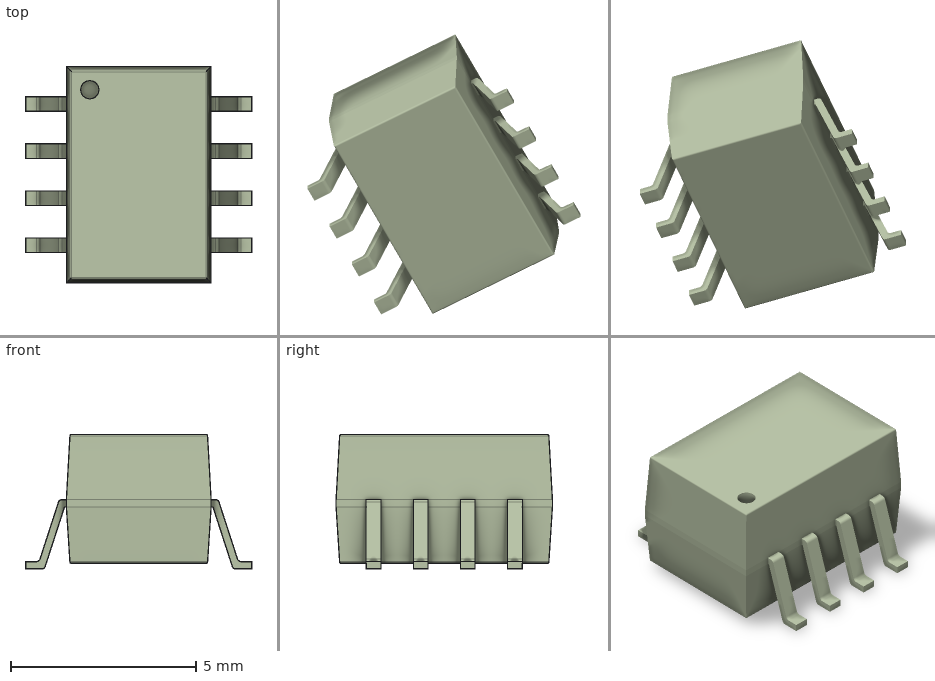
import cadquery as cq
import math

span_x = 6.10
total_height = 3.63

body_width = 3.91
body_length = 5.84
standoff = 0.15
upper_draft = 3.2
lower_draft = 3.7
edge_radius = 0.05

mark_diameter = 0.49
mark_depth = 0.50
mark_x = -1.32
mark_y = 2.29

lead_thickness = 0.20
lead_width = 0.40
lead_pitch = 1.27
leads_per_side = 4
lead_top = 1.87
lead_slope = 72.0
shoulder_length = 0.19
bend_radius = 0.10

band_bottom = lead_top - lead_thickness
upper_height = total_height - lead_top
lower_height = band_bottom - standoff


def make_housing():
    band = cq.Workplane("XY").workplane(offset=band_bottom).rect(body_width, body_length)
    housing = (
        band.extrude(lead_thickness)
        .faces(">Z").workplane()
        .rect(body_width, body_length).extrude(upper_height, taper=upper_draft)
        .faces("<Z").workplane()
        .rect(body_width, body_length).extrude(lower_height, taper=lower_draft)
    )
    housing = housing.faces(">Z or <Z").edges().fillet(edge_radius)
    mark = (
        cq.Workplane("XY").workplane(offset=total_height - mark_depth)
        .center(mark_x, mark_y).circle(mark_diameter / 2).extrude(mark_depth)
    )
    return housing.cut(mark)


def make_lead(side, y_center):
    """One lead ending flush on the housing; side is -1 for the -X row and +1 for the +X row."""
    slope = math.radians(lead_slope)
    run_per_height = 1 / math.tan(slope)
    corner_shift = lead_thickness * math.tan(slope / 2)

    root_x = body_width / 2
    tip_x = span_x / 2
    shoulder_outer_x = root_x + shoulder_length
    shoulder_inner_x = shoulder_outer_x - corner_shift
    foot_upper_x = shoulder_outer_x + (lead_top - lead_thickness) * run_per_height
    foot_lower_x = shoulder_inner_x + band_bottom * run_per_height

    profile = [
        (root_x, lead_top),
        (shoulder_outer_x, lead_top),
        (foot_upper_x, lead_thickness),
        (tip_x, lead_thickness),
        (tip_x, 0),
        (foot_lower_x, 0),
        (shoulder_inner_x, band_bottom),
        (root_x, band_bottom),
    ]
    rounded_corners = [
        (shoulder_outer_x, lead_top),
        (foot_upper_x, lead_thickness),
        (foot_lower_x, 0),
    ]

    lead = (
        cq.Workplane("XZ", origin=(0, y_center, 0))
        .polyline([(side * x, z) for x, z in profile]).close()
        .extrude(lead_width / 2, both=True)
    )
    for x, z in rounded_corners:
        corner = cq.selectors.NearestToPointSelector((side * x, y_center, z))
        lead = lead.edges("|Y").edges(corner).fillet(bend_radius)
    return lead


housing = make_housing()
first_lead_y = -lead_pitch * (leads_per_side - 1) / 2
leads = [
    make_lead(side, first_lead_y + index * lead_pitch)
    for side in (-1, 1)
    for index in range(leads_per_side)
]
result = cq.Compound.makeCompound([housing.val(), *[lead.val() for lead in leads]])